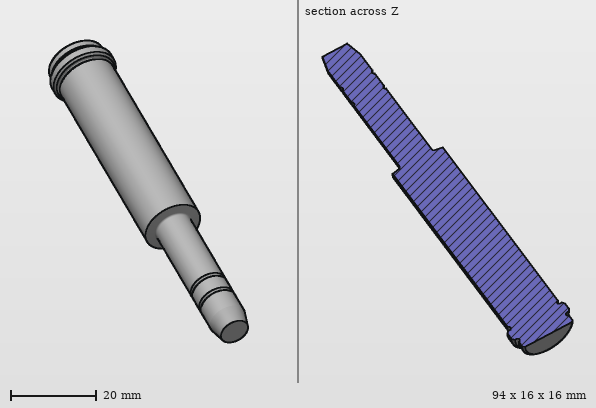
import cadquery as cq

TOTAL_LENGTH = 94.0

BODY_DIAMETER = 14.0
BODY_LENGTH = 57.9
END_CHAMFER_LENGTH = 0.4
END_CHAMFER_DEPTH = 0.6
SHOULDER_SLOPE_LENGTH = 0.4

FLANGE_DIAMETER = 16.0
FLANGE_START = 2.9
FLANGE_WIDTH = 3.1
FLANGE_CHAMFER = 0.6
RELIEF_WIDTH = 0.8
RELIEF_DEPTH = 0.5

SHAFT_DIAMETER = 9.0
ROOT_FILLET = 0.5
GROOVE_STARTS = (78.5, 83.5)
GROOVE_WIDTH = 0.9
GROOVE_DEPTH = 0.4
TIP_LENGTH = 4.1
TIP_DIAMETER = 7.0


def revolve_about_x(outline):
    """Full turn of an outline about the X axis."""
    return outline.revolve(360, (0, 0, 0), (1, 0, 0))


def cylinder(start, length, diameter):
    """Solid cylinder on the X axis."""
    return cq.Workplane("YZ", origin=(start, 0, 0)).circle(diameter / 2).extrude(length)


def ring_groove(start, width, depth, diameter):
    """Ring that cuts a groove with a rounded floor into a cylinder of the given diameter."""
    radius = diameter / 2
    outline = (
        cq.Workplane("XY")
        .moveTo(start, radius)
        .threePointArc((start + width / 2, radius - depth), (start + width, radius))
        .lineTo(start + width, radius + depth)
        .lineTo(start, radius + depth)
        .close()
    )
    return revolve_about_x(outline)


def make_profile():
    """Half outline of the pin without flange and grooves."""
    body_radius = BODY_DIAMETER / 2
    shaft_radius = SHAFT_DIAMETER / 2
    return (
        cq.Workplane("XY")
        .lineTo(0, body_radius - END_CHAMFER_DEPTH)
        .lineTo(END_CHAMFER_LENGTH, body_radius)
        .lineTo(BODY_LENGTH - SHOULDER_SLOPE_LENGTH, body_radius)
        .lineTo(BODY_LENGTH, shaft_radius + ROOT_FILLET)
        .radiusArc((BODY_LENGTH + ROOT_FILLET, shaft_radius), -ROOT_FILLET)
        .lineTo(TOTAL_LENGTH - TIP_LENGTH, shaft_radius)
        .lineTo(TOTAL_LENGTH, TIP_DIAMETER / 2)
        .lineTo(TOTAL_LENGTH, 0)
        .close()
    )


def make_flange():
    flange = cylinder(FLANGE_START, FLANGE_WIDTH, FLANGE_DIAMETER)
    return flange.edges().chamfer(FLANGE_CHAMFER)


pin = revolve_about_x(make_profile())

for relief_start in (FLANGE_START - RELIEF_WIDTH, FLANGE_START + FLANGE_WIDTH):
    pin = pin.cut(ring_groove(relief_start, RELIEF_WIDTH, RELIEF_DEPTH, BODY_DIAMETER))

for groove_start in GROOVE_STARTS:
    pin = pin.cut(ring_groove(groove_start, GROOVE_WIDTH, GROOVE_DEPTH, SHAFT_DIAMETER))

result = pin.union(make_flange())